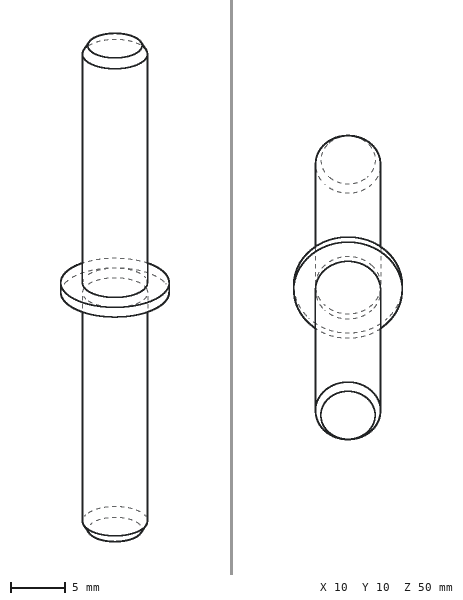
import cadquery as cq
import math

pin_length = 50.0
pin_diameter = 6.0
collar_diameter = 10.0
collar_thickness = 1.0
chamfer_depth = 0.5
chamfer_angle = 30.0
chamfer_height = chamfer_depth / math.tan(math.radians(chamfer_angle))


def make_disc(diameter, height):
    """Cylinder on the Z axis, centred on the origin."""
    return cq.Workplane("XY").cylinder(height, diameter / 2)


pin = make_disc(pin_diameter, pin_length)
pin = pin.faces("|Z").chamfer(chamfer_height, chamfer_depth)

collar = make_disc(collar_diameter, collar_thickness)

result = pin.union(collar)